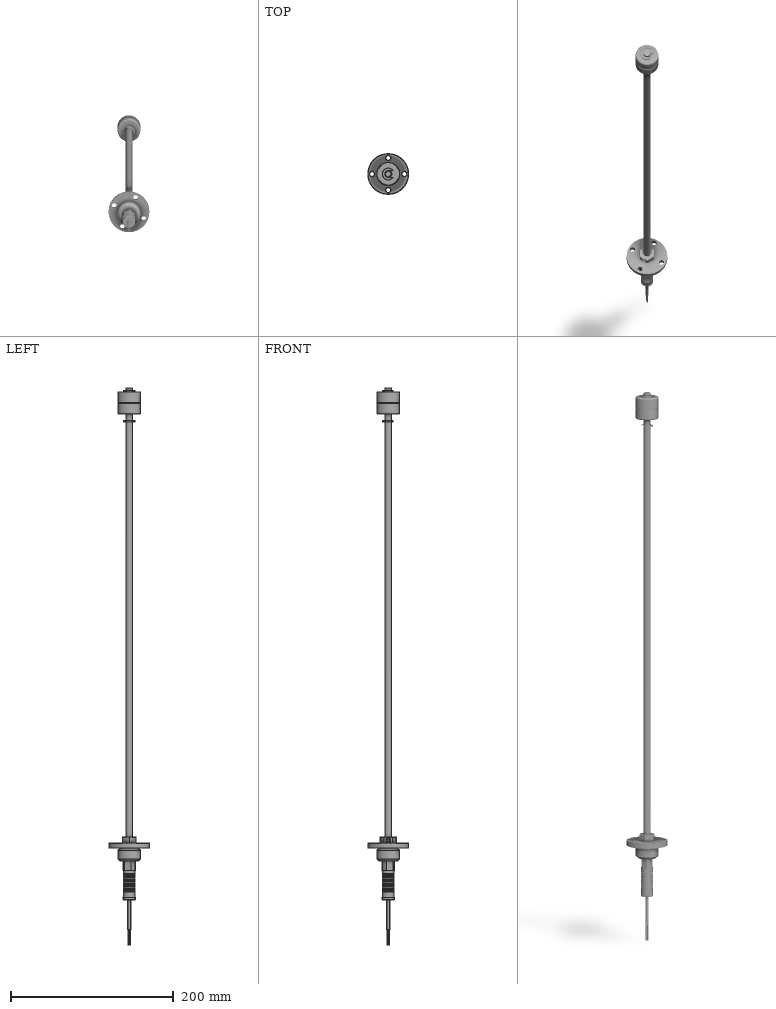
import cadquery as cq
import math

TOTAL_HEIGHT = 685.5

STEM_DIAMETER = 8.0
STEM_GROOVE_DIAMETER = 7.0

CLIP_DIAMETER = 14.5
CLIP_OPENING = STEM_DIAMETER
CLIP_THICKNESS = 1.5
UPPER_CLIP_Z = 681.0
LOWER_CLIP_Z = 644.0

FLOAT_DIAMETER = 28.0
FLOAT_BORE = 9.0
FLOAT_BOTTOM = 653.5
FLOAT_TOP = UPPER_CLIP_Z
FLOAT_EDGE_FILLET = 1.7
FLOAT_GROOVE_DIAMETER = 26.0
FLOAT_GROOVE_WIDTH = 1.5

FLANGE_DIAMETER = 50.0
FLANGE_TOP = 125.5
FLANGE_THICKNESS = 6.0
MOUNTING_HOLE_DIAMETER = 6.0
MOUNTING_HOLE_COUNT = 4
BOLT_CIRCLE_DIAMETER = 40.0
HUB_ACROSS_FLATS = 17.0
HUB_TOP = 133.0
SCREW_HOLE_DIAMETER = 6.0
SCREW_HOLE_DEPTH = 2.0
SCREW_TIP_DIAMETER = 4.0
BOSS_DIAMETER = 28.0
BOSS_BOTTOM = 103.5
BOSS_CHAMFER = 3.0

GLAND_DIAMETER = 14.5
GLAND_HEX_ACROSS_FLATS = 14.0
GLAND_HEX_TURN = 15.0
GLAND_HEX_BOTTOM = 92.0
GLAND_BOTTOM = 55.5
GROOVE_TOP = 88.5
GROOVE_PITCH = 3.0
GROOVE_COUNT = 9
GROOVE_DEPTH = 1.0
COLLAR_DIAMETER = 15.0
COLLAR_TOP = 59.0
COLLAR_CHAMFER = 1.0

CABLE_DIAMETER = 4.0
CABLE_BOTTOM = 19.0
WIRE_DIAMETER = 1.5
WIRE_OFFSET_X = 0.8
WIRE_OFFSET_Y = 0.55

FLANGE_BOTTOM = FLANGE_TOP - FLANGE_THICKNESS


def cylinder(diameter, bottom, top):
    return cq.Workplane("XY").workplane(offset=bottom).circle(diameter / 2).extrude(top - bottom)


def hexagon(across_flats, bottom, top):
    across_corners = across_flats / math.cos(math.pi / 6)
    return cq.Workplane("XY").workplane(offset=bottom).polygon(6, across_corners).extrude(top - bottom)


def ring(outer_diameter, inner_diameter, bottom, top):
    return cylinder(outer_diameter, bottom, top).cut(cylinder(inner_diameter, bottom, top))


def make_stem():
    """Long rod with a groove for each retaining clip."""
    stem = cylinder(STEM_DIAMETER, BOSS_BOTTOM, TOTAL_HEIGHT)
    for z in (UPPER_CLIP_Z, LOWER_CLIP_Z):
        stem = stem.cut(ring(STEM_DIAMETER, STEM_GROOVE_DIAMETER, z, z + CLIP_THICKNESS))
    return stem


def make_clip(bottom):
    """Retaining ring in a stem groove, open towards +X."""
    top = bottom + CLIP_THICKNESS
    opening = (
        cq.Workplane("XY").workplane(offset=bottom)
        .rect(CLIP_DIAMETER, CLIP_OPENING)
        .extrude(CLIP_THICKNESS)
        .translate((CLIP_DIAMETER / 2, 0, 0))
    )
    return ring(CLIP_DIAMETER, STEM_GROOVE_DIAMETER, bottom, top).cut(opening)


def make_float():
    """Float with a through bore and a groove around its middle."""
    middle = (FLOAT_BOTTOM + FLOAT_TOP) / 2
    body = cylinder(FLOAT_DIAMETER, FLOAT_BOTTOM, FLOAT_TOP).edges().fillet(FLOAT_EDGE_FILLET)
    groove = ring(
        FLOAT_DIAMETER, FLOAT_GROOVE_DIAMETER,
        middle - FLOAT_GROOVE_WIDTH / 2, middle + FLOAT_GROOVE_WIDTH / 2,
    )
    return body.cut(groove).cut(cylinder(FLOAT_BORE, FLOAT_BOTTOM, FLOAT_TOP))


def screw_hole():
    """Stepped radial hole from the -Y flat of the hub into the stem bore."""
    hub_face_y = -HUB_ACROSS_FLATS / 2
    face = cq.Workplane("XZ", origin=(0, hub_face_y, (FLANGE_TOP + HUB_TOP) / 2))
    tip = face.circle(SCREW_TIP_DIAMETER / 2).extrude(hub_face_y)
    mouth = face.circle(SCREW_HOLE_DIAMETER / 2).extrude(-SCREW_HOLE_DEPTH)
    return tip.union(mouth)


def make_flange():
    """Round plate with mounting holes, a boss below and a hexagonal hub above."""
    plate = (
        cylinder(FLANGE_DIAMETER, FLANGE_BOTTOM, FLANGE_TOP)
        .faces(">Z").workplane()
        .polarArray(BOLT_CIRCLE_DIAMETER / 2, 0, 360, MOUNTING_HOLE_COUNT)
        .hole(MOUNTING_HOLE_DIAMETER)
    )
    boss = cylinder(BOSS_DIAMETER, BOSS_BOTTOM, FLANGE_BOTTOM).edges().chamfer(BOSS_CHAMFER)
    hub = hexagon(HUB_ACROSS_FLATS, FLANGE_TOP, HUB_TOP)
    flange = plate.union(boss).union(hub)
    return flange.cut(screw_hole()).cut(cylinder(STEM_DIAMETER, BOSS_BOTTOM, HUB_TOP))


def make_gland():
    """Hexagonal head over a ribbed sleeve that ends in a collar."""
    hex_head = hexagon(GLAND_HEX_ACROSS_FLATS, GLAND_HEX_BOTTOM, BOSS_BOTTOM)
    hex_head = hex_head.rotate((0, 0, 0), (0, 0, 1), GLAND_HEX_TURN)
    sleeve = cylinder(GLAND_DIAMETER, GLAND_BOTTOM, GLAND_HEX_BOTTOM)
    groove_floor = GLAND_DIAMETER - 2 * GROOVE_DEPTH
    for i in range(GROOVE_COUNT):
        top = GROOVE_TOP - i * GROOVE_PITCH
        sleeve = sleeve.cut(ring(GLAND_DIAMETER, groove_floor, top - GROOVE_PITCH / 2, top))
    collar = cylinder(COLLAR_DIAMETER, GLAND_BOTTOM, COLLAR_TOP).faces("<Z").chamfer(COLLAR_CHAMFER)
    cable_bore = cylinder(CABLE_DIAMETER, GLAND_BOTTOM, BOSS_BOTTOM)
    return hex_head.union(sleeve).union(collar).cut(cable_bore)


def make_wire(side):
    """One of two wires side by side under the cable; side is -1 or 1."""
    return cylinder(WIRE_DIAMETER, 0, CABLE_BOTTOM).translate(
        (side * WIRE_OFFSET_X, -side * WIRE_OFFSET_Y, 0)
    )


stem = make_stem()
float_body = make_float()
clips = [make_clip(z) for z in (UPPER_CLIP_Z, LOWER_CLIP_Z)]
flange = make_flange()
gland = make_gland()
cable = cylinder(CABLE_DIAMETER, CABLE_BOTTOM, BOSS_BOTTOM)
wires = [make_wire(side) for side in (-1, 1)]

bodies = [stem, float_body, *clips, flange, gland, cable, *wires]
result = cq.Compound.makeCompound([body.val() for body in bodies])